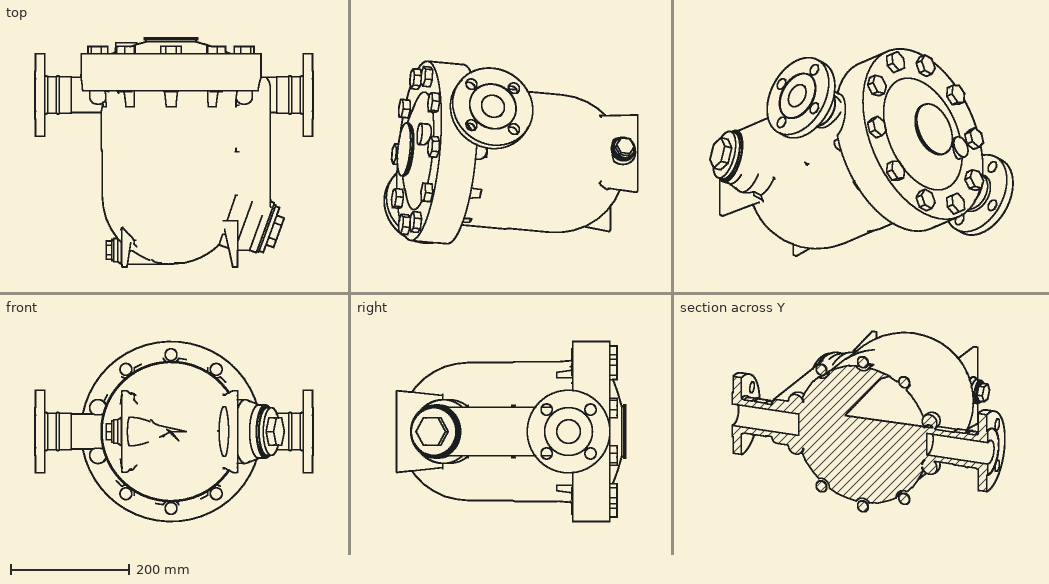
import cadquery as cq
import math


FLANGE_R = 305 / 2
FLANGE_BOTTOM_Y = 7.0
JOINT_Y = 39.0
COVER_TOP_Y = 70.0
RIM_R = 120.5
RIM_END_Y = -17.0
ROOT_FILLET = 4.0
UPPER_WALL_R = 118.5
STEP_TOP_Y = -90.4
STEP_BOTTOM_Y = -95.8
DOME_R = 117.0
DOME_CENTER_Y = -169.5
COVER_DOME_R = 200 / 2
COVER_DOME_MID = (74.0, 80.5)
COVER_NECK_R = 85 / 2
COVER_NECK_BOTTOM_Y = 90.0
COVER_CAP_R = 90 / 2
COVER_CAP_THICKNESS = 3.5
COVER_CAP_TOP_Y = 96.5
COVER_BOSS_R = 36 / 2
COVER_BOSS_X = -76.0
COVER_BOSS_TOP_Y = 88.5

BOLT_COUNT = 10
BOLT_CIRCLE_R = 130.0
BOLT_FIRST_ANGLE = 90.0
BOLT_HEAD_FLATS = 30.0
BOLT_HEAD_HEIGHT = 12.3
BOLT_END_R = 20 / 2
BOLT_END_LENGTH = 1.5
BOLT_POCKET_R = 14.5
BOLT_POCKET_BOTTOM_Y = -20.0
CAP_NUT_SIDE_ANGLE = 18.0
CAP_NUT_R = 14.0
CAP_NUT_SHOULDER_Y = -3.5
CAP_NUT_TIP_Y = -15.4
CAP_NUT_TIP_R = 2.0

INLET_FACE_X = -231.0
OUTLET_FACE_X = 241.0
PIPE_FLANGE_R = 140 / 2
PIPE_FLANGE_THICKNESS = 16.0
RAISED_FACE_R = 81 / 2
RAISED_FACE_THICKNESS = 1.6
PIPE_R = 60 / 2
SLEEVE_R = 62 / 2
SLEEVE_LENGTH = 62.0
HUB_FLARE_LENGTH = 5.0
HUB_FLARE_R = 33.0
WELD_BEAD_R = 32.3
WELD_BEAD_START = 37.0
WELD_BEAD_WIDTH = 5.0
PIPE_BORE_R = 40 / 2
PIPE_HOLE_R = 19 / 2
PIPE_HOLE_CIRCLE_R = 105 / 2

CHANNEL_HALF_WIDTH = 41.0
CHANNEL_OUTER_X = 168.2
CHANNEL_EDGE_R = 10.0
CHANNEL_CROWN_HEIGHT = 30.0
CHANNEL_BLEND_R = 5.0

STRAINER_TILT = 20.0
STRAINER_FACE = (182.6, -233.2)
STRAINER_BASE_DEPTH = 92.0
STRAINER_CONE_START = 60.6
STRAINER_CONE_END = 36.6
STRAINER_NECK_END = 24.5
STRAINER_RING_END = 21.0
STRAINER_BASE_R = 54.0
STRAINER_NECK_R = 90 / 2
STRAINER_RING_R = 85 / 2
STRAINER_PLUG_R = 81 / 2
STRAINER_HEX_FLATS = 46.0
STRAINER_HEX_HEIGHT = 13.5
STRAINER_BLEND_R = 5.0
CHANNEL_END_OFFSET = 15.0

DRAIN_Y = -262.5
DRAIN_R = 24.0
DRAIN_INNER_X = 0.0
DRAIN_BOSS_X = -84.0
DRAIN_CONE_X = -90.0
DRAIN_COLLAR_X = -97.0
DRAIN_WASHER_X = -100.2
DRAIN_COLLAR_R = 40 / 2
DRAIN_WASHER_R = 36 / 2
DRAIN_HEX_FLATS = 27.0
DRAIN_HEX_X = -110.0

FOOT_BOTTOM_Y = -291.3
FOOT_BOTTOM_HALF_WIDTH = 69.5
FOOT_TOP_HALF_WIDTH = 61.0
FOOT_BOTTOM_THICKNESS = 8.5
LEFT_FOOT_X = -83.0
LEFT_FOOT_TOP_Y = -222.0
LEFT_FOOT_TOP_THICKNESS = 19.0
RIGHT_FOOT_X = 112.8
RIGHT_FOOT_TOP_Y = -212.6
RIGHT_FOOT_TOP_THICKNESS = 25.5
FOOT_EDGE_R = 1.5
FOOT_BLEND_R = 4.0


def y_cylinder(radius, bottom_y, top_y, x=0.0, z=0.0):
    """Cylinder parallel to the vessel axis."""
    return (
        cq.Workplane("XZ", origin=(x, bottom_y, z))
        .circle(radius)
        .extrude(bottom_y - top_y)
    )


def hexagon(plane, flats, height, turn=0.0):
    """Hexagonal prism on a plane; flats face the plane's local Y when turn is 0."""
    return (
        cq.Workplane(plane)
        .transformed(rotate=(0, 0, turn))
        .polygon(6, flats / math.cos(math.pi / 6))
        .extrude(height)
    )


def make_body():
    """Body flange, stepped wall and hemispherical end in one revolve."""
    dome_mid = DOME_R * math.sqrt(0.5)
    return (
        cq.Workplane("XY")
        .moveTo(0, JOINT_Y)
        .lineTo(FLANGE_R, JOINT_Y)
        .lineTo(FLANGE_R, FLANGE_BOTTOM_Y)
        .lineTo(RIM_R + ROOT_FILLET, FLANGE_BOTTOM_Y)
        .radiusArc((RIM_R, FLANGE_BOTTOM_Y - ROOT_FILLET), -ROOT_FILLET)
        .lineTo(UPPER_WALL_R, RIM_END_Y)
        .lineTo(UPPER_WALL_R, STEP_TOP_Y)
        .lineTo(DOME_R, STEP_BOTTOM_Y)
        .lineTo(DOME_R, DOME_CENTER_Y)
        .threePointArc((dome_mid, DOME_CENTER_Y - dome_mid), (0, DOME_CENTER_Y - DOME_R))
        .close()
        .revolve(360, (0, 0), (0, 1))
    )


def make_cover():
    """Cover plate with a shallow dome, a round cap and an off-centre boss."""
    cap_bottom_y = COVER_CAP_TOP_Y - COVER_CAP_THICKNESS
    cover = (
        cq.Workplane("XY")
        .moveTo(0, JOINT_Y)
        .lineTo(FLANGE_R, JOINT_Y)
        .lineTo(FLANGE_R, COVER_TOP_Y)
        .lineTo(COVER_DOME_R, COVER_TOP_Y)
        .threePointArc(COVER_DOME_MID, (COVER_NECK_R, COVER_NECK_BOTTOM_Y))
        .lineTo(COVER_NECK_R, cap_bottom_y)
        .lineTo(COVER_CAP_R, cap_bottom_y)
        .lineTo(COVER_CAP_R, COVER_CAP_TOP_Y)
        .lineTo(0, COVER_CAP_TOP_Y)
        .close()
        .revolve(360, (0, 0), (0, 1))
    )
    return cover.union(y_cylinder(COVER_BOSS_R, COVER_TOP_Y, COVER_BOSS_TOP_Y, COVER_BOSS_X))


def strainer_plane(depth):
    """Plane across the strainer axis, facing outward, a depth behind the hexagon face."""
    tilt = math.radians(STRAINER_TILT)
    direction = (math.cos(tilt), -math.sin(tilt), 0)
    origin = (
        STRAINER_FACE[0] - depth * direction[0],
        STRAINER_FACE[1] - depth * direction[1],
        0,
    )
    return cq.Plane(origin=origin, xDir=(direction[1], -direction[0], 0), normal=direction)


def make_channel():
    """Flat-sided channel with a crowned top, ending inside the strainer boss."""
    tilt = math.radians(STRAINER_TILT)
    end_y = STRAINER_FACE[1] + CHANNEL_END_OFFSET / math.cos(tilt)
    inner_end_y = end_y + STRAINER_FACE[0] * math.tan(tilt)
    outer_end_y = end_y + (STRAINER_FACE[0] - CHANNEL_OUTER_X) * math.tan(tilt)
    side = (
        cq.Workplane("XY")
        .polyline([
            (0, 0),
            (CHANNEL_OUTER_X, 0),
            (CHANNEL_OUTER_X, outer_end_y),
            (0, inner_end_y),
        ])
        .close()
        .extrude(CHANNEL_HALF_WIDTH, both=True)
    )
    crown = (
        cq.Workplane("YZ")
        .ellipse(CHANNEL_CROWN_HEIGHT, CHANNEL_HALF_WIDTH)
        .extrude(CHANNEL_OUTER_X)
    )
    channel = side.union(crown)
    return channel.faces(">X").edges("not(<Y)").fillet(CHANNEL_EDGE_R)


def strainer_turning(outline):
    """Solid of revolution on the strainer axis from (depth behind the hexagon face, radius) pairs."""
    start_depth = outline[0][0]
    end_depth = outline[-1][0]
    points = [(-start_depth, 0)] + [(-depth, radius) for depth, radius in outline] + [(-end_depth, 0)]
    return (
        cq.Workplane("XY")
        .polyline(points)
        .close()
        .revolve(360, (0, 0), (1, 0))
        .rotate((0, 0, 0), (0, 0, 1), -STRAINER_TILT)
        .translate((STRAINER_FACE[0], STRAINER_FACE[1], 0))
    )


def make_strainer_boss():
    """Cast boss that tapers outward from the dome to a plain neck."""
    return strainer_turning([
        (STRAINER_BASE_DEPTH, STRAINER_BASE_R),
        (STRAINER_CONE_START, STRAINER_BASE_R),
        (STRAINER_CONE_END, STRAINER_NECK_R),
        (STRAINER_NECK_END, STRAINER_NECK_R),
    ])


def make_strainer_plug():
    """Sealing ring, plug flange and hexagon on the end of the strainer boss."""
    plug = strainer_turning([
        (STRAINER_NECK_END, STRAINER_RING_R),
        (STRAINER_RING_END, STRAINER_RING_R),
        (STRAINER_RING_END, STRAINER_PLUG_R),
        (STRAINER_HEX_HEIGHT, STRAINER_PLUG_R),
    ])
    head = hexagon(strainer_plane(STRAINER_HEX_HEIGHT), STRAINER_HEX_FLATS, STRAINER_HEX_HEIGHT)
    return plug.union(head)


def make_dome():
    """Full ball whose lower half is the closed end of the body."""
    return cq.Workplane("XY").sphere(DOME_R).translate((0, DOME_CENTER_Y, 0))


def blend_boss_with_channel(channel, boss):
    """Join the strainer boss to the channel and round the seams on the flat sides."""
    joined = channel.union(boss)
    margin = 1.0
    seams = None
    for side in (-1, 1):
        z = side * CHANNEL_HALF_WIDTH
        zone = cq.selectors.BoxSelector(
            (DOME_R, STRAINER_FACE[1], z - margin),
            (CHANNEL_OUTER_X - CHANNEL_EDGE_R + margin, DOME_CENTER_Y, z + margin),
        )
        seams = zone if seams is None else seams + zone
    return joined.edges(seams).fillet(STRAINER_BLEND_R)


def make_channel_blend(wall_r, bottom_y, top_y):
    """Concave fillets between both channel sides and a cylindrical stretch of the body wall."""
    center_z = CHANNEL_HALF_WIDTH + CHANNEL_BLEND_R
    center_x = math.sqrt((wall_r + CHANNEL_BLEND_R) ** 2 - center_z ** 2)
    wall_share = wall_r / (wall_r + CHANNEL_BLEND_R)
    corner_x = math.sqrt(wall_r ** 2 - CHANNEL_HALF_WIDTH ** 2)
    half = (
        cq.Workplane("XZ", origin=(0, top_y, 0))
        .moveTo(corner_x - CHANNEL_BLEND_R, CHANNEL_HALF_WIDTH - CHANNEL_BLEND_R)
        .lineTo(center_x, CHANNEL_HALF_WIDTH - CHANNEL_BLEND_R)
        .lineTo(center_x, CHANNEL_HALF_WIDTH)
        .radiusArc((center_x * wall_share, center_z * wall_share), CHANNEL_BLEND_R)
        .close()
        .extrude(top_y - bottom_y)
    )
    return half.union(half.mirror("XY"))


def make_drain():
    """Horizontal drain boss, tangent to the dome, with a hexagon plug."""
    boss = (
        cq.Workplane("XY")
        .polyline([
            (DRAIN_INNER_X, 0),
            (DRAIN_INNER_X, DRAIN_R),
            (DRAIN_BOSS_X, DRAIN_R),
            (DRAIN_CONE_X, DRAIN_COLLAR_R),
            (DRAIN_COLLAR_X, DRAIN_COLLAR_R),
            (DRAIN_COLLAR_X, DRAIN_WASHER_R),
            (DRAIN_WASHER_X, DRAIN_WASHER_R),
            (DRAIN_WASHER_X, 0),
        ])
        .close()
        .revolve(360, (0, 0), (1, 0))
        .translate((0, DRAIN_Y, 0))
    )
    head_plane = cq.Plane(origin=(DRAIN_WASHER_X, DRAIN_Y, 0), xDir=(0, 1, 0), normal=(-1, 0, 0))
    return boss.union(hexagon(head_plane, DRAIN_HEX_FLATS, DRAIN_WASHER_X - DRAIN_HEX_X))


def make_foot(outer_x, top_y, top_thickness, inward):
    """Foot plate that thickens and narrows toward the dome; inward is the X sense of growth."""
    profile = (
        cq.Workplane("XY")
        .polyline([
            (outer_x, FOOT_BOTTOM_Y),
            (outer_x + inward * FOOT_BOTTOM_THICKNESS, FOOT_BOTTOM_Y),
            (outer_x + inward * top_thickness, top_y),
            (outer_x, top_y),
        ])
        .close()
        .extrude(FOOT_BOTTOM_HALF_WIDTH, both=True)
    )
    width_outline = (
        cq.Workplane("YZ", origin=(outer_x, 0, 0))
        .polyline([
            (FOOT_BOTTOM_Y, -FOOT_BOTTOM_HALF_WIDTH),
            (FOOT_BOTTOM_Y, FOOT_BOTTOM_HALF_WIDTH),
            (top_y, FOOT_TOP_HALF_WIDTH),
            (top_y, -FOOT_TOP_HALF_WIDTH),
        ])
        .close()
        .extrude(inward * top_thickness)
    )
    foot = profile.intersect(width_outline)
    return foot.edges("not(>Y)").fillet(FOOT_EDGE_R)


def blend_foot_with_dome(foot, top_y):
    """Join a foot to the dome and round the seam below the top of the foot."""
    seam_zone = cq.selectors.BoxSelector(
        (-DOME_R, FOOT_BOTTOM_Y + FOOT_BOTTOM_THICKNESS, -FOOT_BOTTOM_HALF_WIDTH),
        (DOME_R, top_y - FOOT_EDGE_R / 10, FOOT_BOTTOM_HALF_WIDTH),
    )
    joined = make_dome().union(foot)
    return joined.edges("%CIRCLE or %BSPLINE").edges(seam_zone).fillet(FOOT_BLEND_R)


def make_pipe(face_x, inward):
    """Pipe, sleeve and bolting flange running inward from a face to the vessel axis."""
    flange_back = RAISED_FACE_THICKNESS + PIPE_FLANGE_THICKNESS
    weld_end = WELD_BEAD_START + WELD_BEAD_WIDTH
    outline = [
        (0, RAISED_FACE_R),
        (RAISED_FACE_THICKNESS, RAISED_FACE_R),
        (RAISED_FACE_THICKNESS, PIPE_FLANGE_R),
        (flange_back, PIPE_FLANGE_R),
        (flange_back, HUB_FLARE_R),
        (flange_back + HUB_FLARE_LENGTH, SLEEVE_R),
        (WELD_BEAD_START, SLEEVE_R),
    ]
    sketch = cq.Workplane("XY").moveTo(face_x, 0)
    for distance, radius in outline:
        sketch = sketch.lineTo(face_x + inward * distance, radius)
    bead_mid_x = face_x + inward * (WELD_BEAD_START + WELD_BEAD_WIDTH / 2)
    pipe = (
        sketch
        .threePointArc((bead_mid_x, WELD_BEAD_R), (face_x + inward * weld_end, SLEEVE_R))
        .lineTo(face_x + inward * SLEEVE_LENGTH, SLEEVE_R)
        .lineTo(face_x + inward * SLEEVE_LENGTH, PIPE_R)
        .lineTo(0, PIPE_R)
        .lineTo(0, 0)
        .close()
        .revolve(360, (0, 0), (1, 0))
    )
    holes = (
        cq.Workplane("YZ", origin=(face_x, 0, 0))
        .polarArray(PIPE_HOLE_CIRCLE_R, 45, 360, 4)
        .circle(PIPE_HOLE_R)
        .extrude(inward * flange_back)
    )
    return pipe.cut(holes)


def pipe_bore(face_x, end_x):
    """Bore of one pipe from its flange face to the vessel wall."""
    return cq.Workplane("YZ", origin=(face_x, 0, 0)).circle(PIPE_BORE_R).extrude(end_x - face_x)


def bolt_angles():
    """Angles of all cover bolts around the vessel axis."""
    return [BOLT_FIRST_ANGLE + 360 / BOLT_COUNT * index for index in range(BOLT_COUNT)]


def bolt_place(angle):
    """X and Z of the bolt at an angle measured from +X toward +Z."""
    turn = math.radians(angle)
    return BOLT_CIRCLE_R * math.cos(turn), BOLT_CIRCLE_R * math.sin(turn)


def has_cap_nut(angle):
    """True for the four bolts beside the pipes."""
    from_pipe_line = abs((angle + 90) % 180 - 90)
    return from_pipe_line < CAP_NUT_SIDE_ANGLE + 1


def make_bolt_head(angle):
    """Hexagon head on the cover with a flat facing outward."""
    x, z = bolt_place(angle)
    plane = cq.Plane(origin=(x, COVER_TOP_Y, z), xDir=(1, 0, 0), normal=(0, 1, 0))
    return hexagon(plane, BOLT_HEAD_FLATS, BOLT_HEAD_HEIGHT, 90 - angle)


def make_cap_nut(angle):
    """Round nut below the body flange with a domed end."""
    x, z = bolt_place(angle)
    dome_height = CAP_NUT_SHOULDER_Y - CAP_NUT_TIP_Y
    dome_mid = (0.75 * CAP_NUT_R, CAP_NUT_SHOULDER_Y - 0.7 * dome_height)
    return (
        cq.Workplane("XY")
        .moveTo(0, FLANGE_BOTTOM_Y)
        .lineTo(CAP_NUT_R, FLANGE_BOTTOM_Y)
        .lineTo(CAP_NUT_R, CAP_NUT_SHOULDER_Y)
        .threePointArc(dome_mid, (CAP_NUT_TIP_R, CAP_NUT_TIP_Y))
        .lineTo(0, CAP_NUT_TIP_Y)
        .close()
        .revolve(360, (0, 0), (0, 1))
        .translate((x, 0, z))
    )


def make_bolt_end(angle):
    """Bolt end standing slightly below the body flange."""
    x, z = bolt_place(angle)
    return y_cylinder(BOLT_END_R, FLANGE_BOTTOM_Y - BOLT_END_LENGTH, FLANGE_BOTTOM_Y, x, z)


def make_bolt_pocket(angle):
    """Clearance beside the body wall for turning a bolt."""
    x, z = bolt_place(angle)
    return y_cylinder(BOLT_POCKET_R, BOLT_POCKET_BOTTOM_Y, FLANGE_BOTTOM_Y, x, z)


strainer_boss = make_strainer_boss()
left_foot = make_foot(LEFT_FOOT_X, LEFT_FOOT_TOP_Y, LEFT_FOOT_TOP_THICKNESS, 1)
right_foot = make_foot(RIGHT_FOOT_X, RIGHT_FOOT_TOP_Y, RIGHT_FOOT_TOP_THICKNESS, -1)

result = make_body()
for bolt_angle in bolt_angles():
    result = result.cut(make_bolt_pocket(bolt_angle))

result = result.union(blend_boss_with_channel(make_channel(), strainer_boss))
result = result.union(make_channel_blend(DOME_R, DOME_CENTER_Y, STEP_BOTTOM_Y))
result = result.union(make_channel_blend(UPPER_WALL_R, STEP_BOTTOM_Y, RIM_END_Y))
result = result.union(blend_foot_with_dome(left_foot, LEFT_FOOT_TOP_Y))
result = result.union(blend_foot_with_dome(right_foot, RIGHT_FOOT_TOP_Y))
result = result.union(make_strainer_plug()).union(make_drain())
result = result.union(make_pipe(INLET_FACE_X, 1)).union(make_pipe(OUTLET_FACE_X, -1))
result = result.cut(pipe_bore(INLET_FACE_X, -UPPER_WALL_R))
result = result.cut(pipe_bore(OUTLET_FACE_X, UPPER_WALL_R))

for bolt_angle in bolt_angles():
    if has_cap_nut(bolt_angle):
        result = result.union(make_cap_nut(bolt_angle))
    else:
        result = result.union(make_bolt_end(bolt_angle))

cover = make_cover()
for bolt_angle in bolt_angles():
    cover = cover.union(make_bolt_head(bolt_angle))

result = result.union(cover, clean=False)